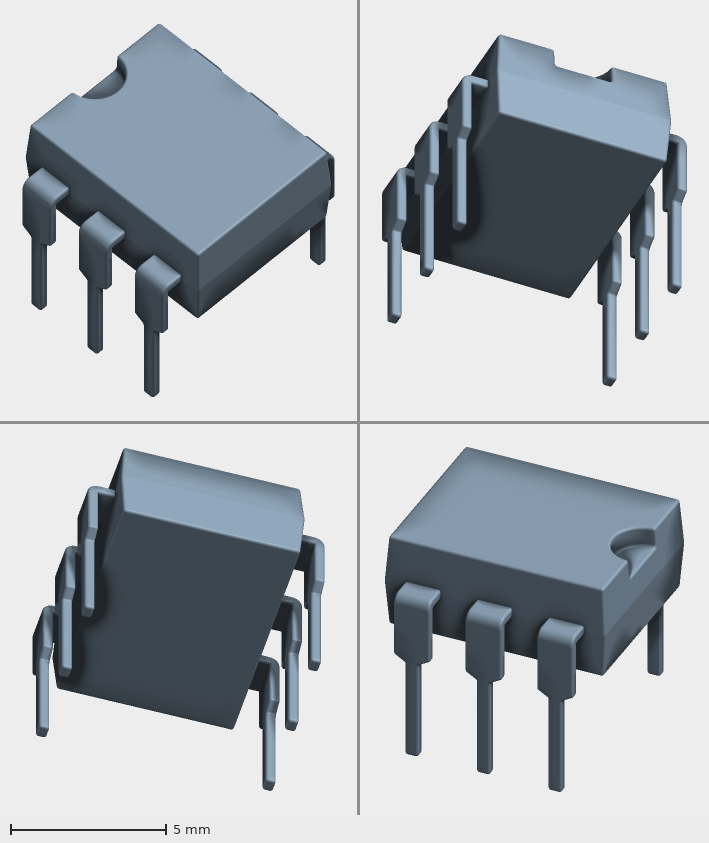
import cadquery as cq
import math

overall_depth = 7.97
overall_height = 7.5
housing_length = 7.84
housing_depth = 6.185
half_height = 1.67
draft_angle = 4.0
edge_radius = 0.095

notch_radius = 1.005
notch_depth = 0.7

leads_per_side = 3
lead_pitch = 2.54
lead_thickness = 0.35
lead_width = 1.275
pin_width = 0.47
pin_tip_z = half_height - overall_height
shoulder_z = -2.08
shoulder_angle = 30.0
bend_inner_radius = 0.01
selection_margin = 0.08
root_overlap = 0.24

lead_top_z = lead_thickness / 2
lead_outer_y = -overall_depth / 2
lead_inner_y = lead_outer_y + lead_thickness
lead_root_y = -housing_depth / 2 + root_overlap
bend_outer_radius = bend_inner_radius + lead_thickness
neck_z = shoulder_z - (lead_width - pin_width) / 2 * math.tan(math.radians(shoulder_angle))


def drafted_half():
    """Upper half of the housing, tapering inward from the parting plane."""
    return cq.Workplane("XY").rect(housing_length, housing_depth).extrude(half_height, taper=draft_angle)


def notch_cutter():
    """Round plug with a rounded lower rim, centred on the top edge of the -X end."""
    top_edge_x = -housing_length / 2 + half_height * math.tan(math.radians(draft_angle))
    return (
        cq.Workplane("XY", origin=(top_edge_x, 0, half_height - notch_depth))
        .circle(notch_radius)
        .extrude(2 * notch_depth)
        .faces("<Z")
        .edges()
        .fillet(edge_radius)
    )


def round_outer_edges(half):
    """Round every edge of a housing half except those in the parting plane."""
    return half.faces(">Z or <X or >X").edges("not <Z").fillet(edge_radius)


def make_housing():
    upper = round_outer_edges(drafted_half().cut(notch_cutter()))
    lower = round_outer_edges(drafted_half()).mirror("XY")
    return upper.union(lower)


def lead_strip():
    """L-shaped bent strip, full lead width, on the -Y side."""
    bend_center_y = lead_outer_y + bend_outer_radius
    bend_center_z = lead_top_z - bend_outer_radius
    diagonal = math.sqrt(0.5)
    return (
        cq.Workplane("YZ")
        .moveTo(lead_root_y, lead_top_z)
        .lineTo(bend_center_y, lead_top_z)
        .threePointArc(
            (bend_center_y - diagonal * bend_outer_radius, bend_center_z + diagonal * bend_outer_radius),
            (lead_outer_y, bend_center_z),
        )
        .lineTo(lead_outer_y, pin_tip_z)
        .lineTo(lead_inner_y, pin_tip_z)
        .lineTo(lead_inner_y, bend_center_z)
        .threePointArc(
            (bend_center_y - diagonal * bend_inner_radius, bend_center_z + diagonal * bend_inner_radius),
            (bend_center_y, lead_top_z - lead_thickness),
        )
        .lineTo(lead_root_y, lead_top_z - lead_thickness)
        .close()
        .extrude(lead_width / 2, both=True)
    )


def side_trimmer():
    """Block that removes the strip beside the +X flank of the pin, below the shoulder."""
    return (
        cq.Workplane("XZ", origin=(0, lead_inner_y, 0))
        .moveTo(pin_width / 2, pin_tip_z)
        .lineTo(pin_width / 2, neck_z)
        .lineTo(lead_width / 2, shoulder_z)
        .lineTo(lead_width / 2, pin_tip_z)
        .close()
        .extrude(lead_thickness)
    )


def make_lead(housing):
    """Lead centred on X = 0 at the -Y side, butting against the housing wall."""
    trimmer = side_trimmer()
    blank = lead_strip().cut(trimmer).cut(trimmer.mirror("YZ"))
    shoulder_box = cq.selectors.BoxSelector(
        (-lead_width, lead_outer_y - selection_margin, neck_z - selection_margin),
        (lead_width, lead_inner_y + selection_margin, shoulder_z + selection_margin),
    )
    blank = blank.edges("|Y").edges(shoulder_box).fillet(edge_radius)
    blank = blank.faces("<X or >X or <Z").edges("not >Y").fillet(edge_radius)
    return blank.cut(housing)


housing = make_housing()
front_lead = make_lead(housing)

leads = []
for column in range(leads_per_side):
    x = (column - (leads_per_side - 1) / 2) * lead_pitch
    leads.append(front_lead.translate((x, 0, 0)).val())
    leads.append(front_lead.mirror("XZ").translate((x, 0, 0)).val())

result = cq.Compound.makeCompound([housing.val(), *leads])